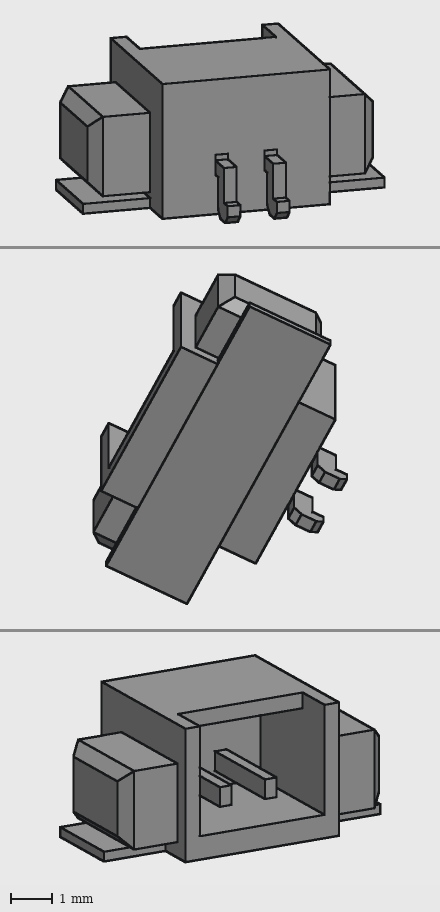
import cadquery as cq

housing_length = 4.2
housing_width = 4.25
housing_height = 3.4

side_wall = 0.4
floor_thickness = 0.6
roof_thickness = 0.4
cavity_depth = 3.2
cavity_width = housing_width - 2 * side_wall
roof_setback = 1.1

ear_front = 0.4
ear_rear = 3.2
ear_bottom = 0.4
ear_top = 2.4
ear_reach = 1.5
ear_chamfer = 0.3

plate_front = 1.0
plate_rear = ear_rear
plate_width = 7.65
plate_thickness = 0.25

pin_pitch = 1.25
pin_count = 2
pin_width = 0.32
pin_tip = 0.7
pin_bottom = 1.0
pin_height = 0.5

tail_thickness = 0.36
leg_gap = 0.2
leg_thickness = 0.5
foot_end = 5.2
foot_height = 0.48
foot_chamfer = 0.2


def block(x_range, y_range, z_range):
    """Rectangular block between the given limits."""
    (x0, x1), (y0, y1), (z0, z1) = x_range, y_range, z_range
    return cq.Workplane("XY").box(x1 - x0, y1 - y0, z1 - z0, centered=False).translate((x0, y0, z0))


def across(width):
    """Y limits of a feature centred on the housing."""
    return (-width / 2, width / 2)


def make_ears():
    """Bar through the housing whose two ends form the chamfered ears."""
    bar = block((ear_front, ear_rear), across(housing_width + 2 * ear_reach), (ear_bottom, ear_top))
    return bar.faces("<Y or >Y").edges().chamfer(ear_chamfer)


def make_solder_plate():
    """Flat plate whose ends stick out under the ears."""
    return block((plate_front, plate_rear), across(plate_width), (0, plate_thickness))


def make_pin(y_center):
    """Straight contact with a bent tail, cut as one side profile of constant width."""
    leg_front = housing_length + leg_gap
    leg_rear = leg_front + leg_thickness
    tail_top = pin_bottom + tail_thickness
    profile = [
        (pin_tip, pin_bottom),
        (leg_front, pin_bottom),
        (leg_front, foot_chamfer),
        (leg_front + foot_chamfer, 0),
        (foot_end - foot_chamfer, 0),
        (foot_end, foot_chamfer),
        (foot_end, foot_height),
        (leg_rear, foot_height),
        (leg_rear, tail_top),
        (housing_length, tail_top),
        (housing_length, pin_bottom + pin_height),
        (pin_tip, pin_bottom + pin_height),
    ]
    pin = cq.Workplane("XZ").polyline(profile).close().extrude(pin_width / 2, both=True)
    return pin.translate((0, y_center, 0))


def make_housing(inserts):
    """Shell with ears, a cavity open at the mouth, and a matching seat for each insert."""
    shell = block((0, housing_length), across(housing_width), (0, housing_height))
    shell = shell.union(make_ears())
    cavity = block(
        (0, cavity_depth), across(cavity_width), (floor_thickness, housing_height - roof_thickness)
    )
    roof_opening = block((0, roof_setback), across(cavity_width), (floor_thickness, housing_height))
    shell = shell.cut(cavity).cut(roof_opening)
    for insert in inserts:
        shell = shell.cut(insert)
    return shell


pin_row_start = -pin_pitch * (pin_count - 1) / 2
pins = [make_pin(pin_row_start + index * pin_pitch) for index in range(pin_count)]
solder_plate = make_solder_plate()
housing = make_housing([solder_plate, *pins])

bodies = [housing, solder_plate, *pins]
result = cq.Compound.makeCompound([body.solids().val() for body in bodies])